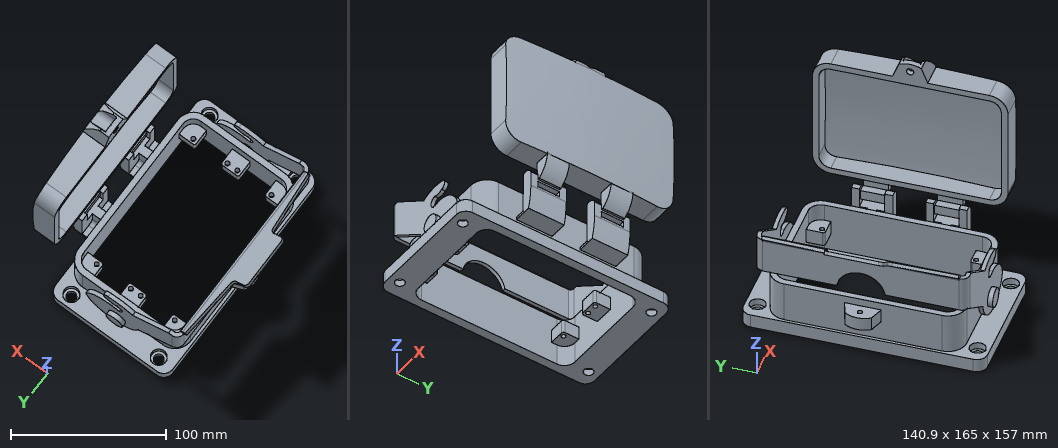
import cadquery as cq
import math


base_length = 165.0
base_width = 94.0
base_height = 10.0
base_corner = 7.5
frame_length = 132.0
frame_width = 90.0
frame_top = 39.3
frame_corner = 12.7
frame_wall = 4.5
inner_length = frame_length - 2 * frame_wall
inner_width = frame_width - 2 * frame_wall
inner_corner = frame_corner - frame_wall

mount_x = 35.0
mount_y = 74.2
mount_diameter = 7.0
mount_bore = 10.9
mount_bore_depth = 5.0

pad_top = 26.9
pad_height = 10.4
pad_reach = 12.5
corner_pad_width = 12.7
middle_pad_width = 14.4
pad_corner = 1.6
pad_hole = 3.1
pad_hole_edge = 3.0
corner_pad_hole_side = 3.5
middle_pad_hole_pitch = 8.0

lug_root_half = 12.4
lug_nose_half = 8.9
lug_shoulder_x = -54.8
lug_nose_x = -57.5
lug_bottom = 24.3
lug_top = 33.8
lug_hole = 3.3
lug_hole_x = -51.2

hinge_y = 25.0
hinge_half_width = 14.0
hinge_slot_half = 8.5
hinge_front = 52.5
hinge_back = 61.0
hinge_foot_x = 58.4
hinge_bottom = 14.2
hinge_foot_thickness = 2.0
hinge_top = 48.2
hinge_web_half = 3.1
hinge_web_fillet = 4.0
hinge_web_top = 33.8
hinge_bar_front = 54.8
hinge_bar_bottom = 38.3
hinge_bar_top = 45.2
hinge_bevel_start = (56.8, hinge_top)
hinge_bevel_end = (60.2, 45.7)
hinge_shoulder_z = 43.7
hinge_waist_z = 32.0
hinge_back_curve = (60.2, 22.5)

knuckle_front = 60.4
knuckle_back = 71.8
knuckle_curve = (69.6, 47.2)
knuckle_tip = (62.5, 40.0)

cover_front = 54.5
cover_length = frame_length
cover_bottom = 54.6
cover_top = 144.5
cover_corner = 12.5
cover_wall = 4.5
cover_peak = 74.5
dome_drop = 2.3
cover_floor = 4.5
cover_height = cover_top - cover_bottom
cover_middle = (cover_top + cover_bottom) / 2

tab_root_half = 11.9
tab_tip_half = 7.6
tab_shoulder = 155.5
tab_top = 157.0
tab_plate = 4.0
tab_back = 72.3
tab_hole = 4.8
tab_hole_z = 151.0
tab_back_curve = (67.3, 152.1)
tab_back_z = 146.5
tab_groove_radius = 5.3
tab_groove_mouth_half = 6.1

lever_half_width = 71.8
lever_sheet = 3.0
lever_front = -49.2
lever_corner = 5.5
lever_bottom = 50.0
lever_top = 75.5
lever_angle = 35.0
lever_hook_root = (-12.2, 55.5)
lever_heel = (-16.5, 29.5)
lever_head_arcs = [
    ((-2.5, 58.2), (7.5, 57.8)),
    ((11.2, 53.8), (8.0, 50.5)),
    ((4.3, 49.3), (0.3, 50.0)),
    ((-3.8, 46.2), (-1.6, 42.0)),
    ((1.5, 42.2), (4.5, 42.7)),
    ((16.8, 39.3), (25.2, 27.5)),
    ((18.8, 16.7), (4.5, 11.4)),
    ((-10.7, 18.5), lever_heel),
]
pivot_z = 25.2
pivot_diameter = 8.2
pivot_head = 13.2
pivot_head_reach = 75.2
bite_radius = 16.5
bite_drop = 2.6

grip_sheet = 2.5
grip_root = 5.0
grip_bend = 2.5
grip_half_width = 66.3
grip_edge = 3.0
grip_neck = 8.2
grip_length = 21.0
grip_tab_half = 20.1
grip_fillet = 3.0


def box(x_min, x_max, y_min, y_max, z_min, z_max):
    size = (x_max - x_min, y_max - y_min, z_max - z_min)
    return cq.Workplane("XY").box(*size, centered=False).translate((x_min, y_min, z_min))


def rounded_block(width, length, bottom, top, corner):
    block = cq.Workplane("XY").workplane(offset=bottom).rect(width, length).extrude(top - bottom)
    return block.edges("|Z").fillet(corner)


def along_y(profile, y_min, y_max):
    """Extrude an XZ profile between two Y positions."""
    return profile.extrude(y_min - y_max).translate((0, y_min, 0))


def make_frame():
    frame = rounded_block(base_width, base_length, 0, base_height, base_corner)
    frame = frame.union(rounded_block(frame_width, frame_length, 0, frame_top, frame_corner))
    frame = frame.cut(rounded_block(inner_width, inner_length, 0, frame_top, inner_corner))
    mounts = [(sx * mount_x, sy * mount_y) for sx in (-1, 1) for sy in (-1, 1)]
    top_face = cq.Workplane("XY").workplane(offset=base_height).pushPoints(mounts)
    frame = frame.cut(top_face.circle(mount_diameter / 2).extrude(-base_height))
    return frame.cut(top_face.circle(mount_bore / 2).extrude(-mount_bore_depth))


def make_pads():
    """Pads on the +Y wall, copied to the -Y wall."""
    bottom = pad_top - pad_height
    wall_x = inner_width / 2
    wall_y = inner_length / 2
    pad_y = wall_y - pad_reach
    middle_half = middle_pad_width / 2
    y_range = (pad_y, wall_y + frame_wall / 2)
    middle_pad = box(-middle_half, middle_half, *y_range, bottom, pad_top)
    pads = middle_pad.edges("|Z and <Y").fillet(pad_corner)
    corner_pad = box(wall_x - corner_pad_width, wall_x + frame_wall / 2, *y_range, bottom, pad_top)
    corner_pad = corner_pad.edges("|Z and <X and <Y").fillet(pad_corner)
    pads = pads.union(corner_pad).union(corner_pad.mirror("YZ"))
    outer_wall = rounded_block(frame_width, frame_length, bottom, pad_top, frame_corner)
    pads = pads.intersect(outer_wall)
    corner_hole_x = wall_x - corner_pad_width + corner_pad_hole_side
    hole_xs = (corner_hole_x, middle_pad_hole_pitch / 2)
    holes = [(side * x, pad_y + pad_hole_edge) for x in hole_xs for side in (-1, 1)]
    drills = cq.Workplane("XY").workplane(offset=bottom).pushPoints(holes)
    pads = pads.cut(drills.circle(pad_hole / 2).extrude(pad_height))
    return pads.union(pads.mirror("XZ"))


def make_lug():
    root_x = -frame_width / 2 + frame_wall / 2
    lug = (
        cq.Workplane("XY").workplane(offset=lug_bottom)
        .moveTo(root_x, lug_root_half)
        .lineTo(-frame_width / 2, lug_root_half)
        .lineTo(lug_shoulder_x, lug_nose_half)
        .threePointArc((lug_nose_x, 0), (lug_shoulder_x, -lug_nose_half))
        .lineTo(-frame_width / 2, -lug_root_half)
        .lineTo(root_x, -lug_root_half)
        .close().extrude(lug_top - lug_bottom)
    )
    drill = cq.Workplane("XY").workplane(offset=lug_bottom).center(lug_hole_x, 0)
    return lug.cut(drill.circle(lug_hole / 2).extrude(lug_top - lug_bottom))


def make_hinge():
    """One hinge bracket, centred on Y = 0."""
    root_x = (frame_width - frame_wall) / 2
    foot_top = hinge_bottom + hinge_foot_thickness
    outline = (
        cq.Workplane("XZ")
        .moveTo(hinge_front, hinge_bottom)
        .lineTo(hinge_front, hinge_top)
        .lineTo(*hinge_bevel_start)
        .lineTo(*hinge_bevel_end)
        .lineTo(hinge_back, hinge_shoulder_z)
        .lineTo(hinge_back, hinge_waist_z)
        .threePointArc(hinge_back_curve, (hinge_foot_x, hinge_bottom))
        .close()
    )
    hinge = along_y(outline, -hinge_half_width, hinge_half_width)
    slot = (-hinge_slot_half, hinge_slot_half)
    hinge = hinge.cut(box(hinge_front, hinge_back, *slot, hinge_web_top, hinge_top))
    hinge = hinge.union(box(hinge_bar_front, hinge_back, *slot, hinge_bar_bottom, hinge_bar_top))
    foot_half = hinge_web_half + hinge_web_fillet
    arc_middle = hinge_web_fillet * (1 - math.sqrt(0.5))
    web = (
        cq.Workplane("YZ").workplane(offset=root_x)
        .moveTo(-hinge_half_width, hinge_bottom)
        .lineTo(hinge_half_width, hinge_bottom)
        .lineTo(hinge_half_width, foot_top)
        .lineTo(foot_half, foot_top)
        .threePointArc(
            (hinge_web_half + arc_middle, foot_top + arc_middle),
            (hinge_web_half, foot_top + hinge_web_fillet),
        )
        .lineTo(hinge_web_half, hinge_web_top)
        .lineTo(-hinge_web_half, hinge_web_top)
        .lineTo(-hinge_web_half, foot_top + hinge_web_fillet)
        .threePointArc(
            (-hinge_web_half - arc_middle, foot_top + arc_middle),
            (-foot_half, foot_top),
        )
        .lineTo(-hinge_half_width, foot_top)
        .close().extrude(hinge_front - root_x)
    )
    return hinge.union(web)


def make_knuckle():
    """Cover knuckle, centred on Y = 0, that rests against the hinge crossbar."""
    root_z = cover_bottom + cover_wall
    knuckle = (
        cq.Workplane("XZ")
        .moveTo(knuckle_front, root_z)
        .lineTo(knuckle_back, root_z)
        .lineTo(knuckle_back, cover_bottom)
        .threePointArc(knuckle_curve, knuckle_tip)
        .lineTo(knuckle_front, knuckle_tip[1])
        .close()
    )
    return along_y(knuckle, -hinge_slot_half, hinge_slot_half)


def dome(peak):
    """Solid bounded towards +X by a surface crowned along both Y and Z."""
    half_length = cover_length / 2
    half_height = cover_height / 2
    radius = (half_height**2 + dome_drop**2) / (2 * dome_drop)
    axis_x = peak - radius
    profile = (
        cq.Workplane("XY").workplane(offset=cover_middle)
        .moveTo(axis_x, -half_length)
        .lineTo(peak - dome_drop, -half_length)
        .threePointArc((peak, 0), (peak - dome_drop, half_length))
        .lineTo(axis_x, half_length)
        .close()
    )
    return profile.revolve(360, (axis_x, 0), (axis_x, 1))


def cover_block(inset, corner):
    block = (
        cq.Workplane("YZ").workplane(offset=cover_front).center(0, cover_middle)
        .rect(cover_length - 2 * inset, cover_height - 2 * inset)
        .extrude(cover_peak - cover_front)
    )
    return block.edges("|X").fillet(corner)


def make_tab():
    root_z = cover_top - cover_wall
    tab = (
        cq.Workplane("YZ").workplane(offset=cover_front)
        .moveTo(-tab_root_half, root_z)
        .lineTo(-tab_root_half, cover_top)
        .lineTo(-tab_tip_half, tab_shoulder)
        .threePointArc((0, tab_top), (tab_tip_half, tab_shoulder))
        .lineTo(tab_root_half, cover_top)
        .lineTo(tab_root_half, root_z)
        .close().extrude(tab_back - cover_front)
    )
    plate_back = cover_front + tab_plate
    side = (
        cq.Workplane("XZ")
        .moveTo(cover_front, root_z)
        .lineTo(cover_front, tab_top)
        .lineTo(plate_back, tab_top)
        .threePointArc(tab_back_curve, (tab_back, tab_back_z))
        .lineTo(tab_back, root_z)
        .close()
    )
    tab = tab.intersect(along_y(side, -tab_root_half, tab_root_half))
    groove = (
        cq.Workplane("YZ").workplane(offset=plate_back).center(0, tab_hole_z)
        .circle(tab_groove_radius).extrude(tab_back - plate_back)
    )
    groove_mouth = (
        cq.Workplane("YZ").workplane(offset=plate_back)
        .moveTo(-tab_groove_radius, tab_hole_z)
        .lineTo(tab_groove_radius, tab_hole_z)
        .lineTo(tab_groove_mouth_half, tab_top)
        .lineTo(-tab_groove_mouth_half, tab_top)
        .close().extrude(tab_back - plate_back)
    )
    tab = tab.cut(groove).cut(groove_mouth)
    drill = cq.Workplane("YZ").workplane(offset=cover_front).center(0, tab_hole_z)
    return tab.cut(drill.circle(tab_hole / 2).extrude(tab_plate))


def make_cover():
    shell = cover_block(0, cover_corner).intersect(dome(cover_peak)).union(make_tab())
    cavity = cover_block(cover_wall, cover_corner - cover_wall)
    return shell.cut(cavity.intersect(dome(cover_peak - cover_floor)))


def lever_side_outline():
    """Lever arm, hook and rounded pivot end in the XZ plane."""
    slope = math.tan(math.radians(lever_angle))
    arm_top_x = lever_hook_root[0] - (lever_top - lever_hook_root[1]) / slope
    arm_bottom_x = lever_heel[0] - (lever_bottom - lever_heel[1]) / slope
    outline = (
        cq.Workplane("XZ")
        .moveTo(lever_front, lever_bottom)
        .lineTo(lever_front, lever_top)
        .lineTo(arm_top_x, lever_top)
        .lineTo(*lever_hook_root)
    )
    for middle, end in lever_head_arcs:
        outline = outline.threePointArc(middle, end)
    return outline.lineTo(arm_bottom_x, lever_bottom).close()


def round_bend(sheet, x, z, radius):
    """Fillet the edge that runs along Y through the given X and Z."""
    return sheet.edges(cq.selectors.NearestToPointSelector((x, 0, z))).fillet(radius)


def make_grip():
    """Flange bent outwards from the top edge of the lever's front plate."""
    lean = math.radians(lever_angle)
    sine = math.sin(lean)
    cosine = math.cos(lean)
    tip_x = lever_front - grip_length * cosine
    tip_z = lever_top + grip_length * sine
    inner_x = lever_front + lever_sheet
    inner_z = lever_top + (grip_sheet - lever_sheet * sine) / cosine
    strip = (
        cq.Workplane("XZ")
        .moveTo(lever_front, lever_top - grip_root)
        .lineTo(lever_front, lever_top)
        .lineTo(tip_x, tip_z)
        .lineTo(tip_x + grip_sheet * sine, tip_z + grip_sheet * cosine)
        .lineTo(inner_x, inner_z)
        .lineTo(inner_x, lever_top - grip_root)
        .close()
    )
    strip = along_y(strip, -grip_half_width, grip_half_width)
    strip = round_bend(strip, lever_front, lever_top, grip_bend)
    strip = round_bend(strip, inner_x, inner_z, grip_bend + grip_sheet)
    plane = cq.Plane(
        origin=(lever_front, 0, lever_top),
        xDir=(-cosine, 0, sine),
        normal=(sine, 0, cosine),
    )
    half_outline = [
        (-2 * grip_root, grip_half_width),
        (grip_edge, grip_half_width),
        (grip_neck, grip_tab_half),
        (grip_length, grip_tab_half),
    ]
    other_half = [(reach, -side) for reach, side in reversed(half_outline)]
    blank = cq.Workplane(plane).polyline(half_outline + other_half).close()
    blank = blank.extrude(2 * grip_root, both=True)
    tab_corners = cq.selectors.BoxSelector(
        (-base_length, -grip_half_width / 2, 0),
        (lever_front - grip_edge, grip_half_width / 2, base_length),
    )
    parallel = cq.selectors.ParallelDirSelector(plane.zDir)
    blank = blank.edges(parallel).edges(tab_corners).fillet(grip_fillet)
    return strip.intersect(blank)


def make_lever():
    lever = along_y(lever_side_outline(), -lever_half_width, lever_half_width)
    lever = lever.edges("|Z and <X").fillet(lever_corner)
    inner_half = lever_half_width - lever_sheet
    hollow = box(lever_front + lever_sheet, frame_width / 2, -inner_half, inner_half, 0, lever_top)
    lever = lever.cut(hollow.edges("|Z and <X").fillet(lever_corner - lever_sheet))
    bite = (
        cq.Workplane("YZ").workplane(offset=lever_front)
        .center(0, lever_bottom - bite_drop).circle(bite_radius).extrude(lever_sheet)
    )
    return lever.cut(bite).union(make_grip())


def make_pivot():
    """Headed pivot on the +Y side, from the frame wall through the lever."""
    shank_start = (frame_length - frame_wall) / 2
    head_start = lever_half_width - lever_sheet / 2
    start = cq.Workplane("XZ").center(0, pivot_z)
    shank = start.circle(pivot_diameter / 2).extrude(shank_start - lever_half_width)
    head = start.circle(pivot_head / 2).extrude(head_start - pivot_head_reach)
    shank = shank.translate((0, shank_start, 0))
    return shank.union(head.translate((0, head_start, 0)))


hinge = make_hinge().union(make_knuckle())
pivot = make_pivot()
result = make_frame().union(make_pads()).union(make_lug())
result = result.union(make_cover())
for side in (-1, 1):
    result = result.union(hinge.translate((0, side * hinge_y, 0)))
result = result.union(make_lever())
result = result.union(pivot).union(pivot.mirror("XZ"))